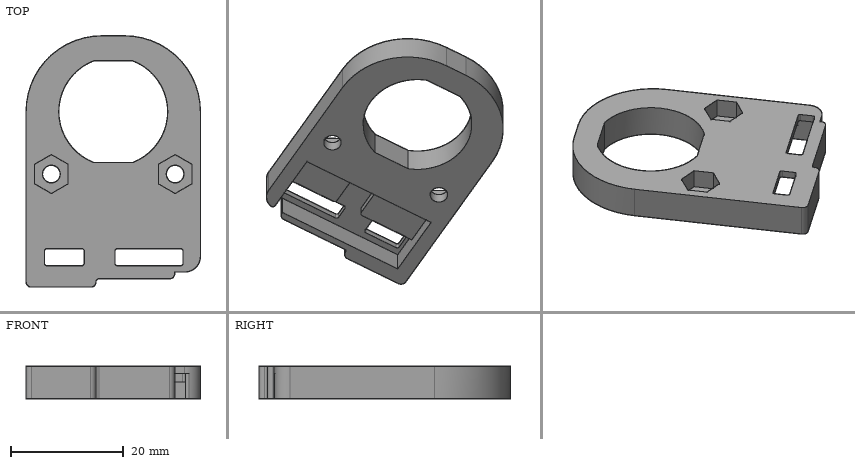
import cadquery as cq
import math

WIDTH = 31.0
LENGTH = 44.65
HEIGHT = 5.8
CENTER_X = WIDTH / 2

HEAD_RADIUS = 13.5
HEAD_Y = LENGTH - HEAD_RADIUS
EDGE_RADIUS = 1.0
STEP_RADIUS = 0.5
STEP_Y = EDGE_RADIUS + STEP_RADIUS
STEP_X = 12.45
TONGUE_X = 26.45
NOTCH_Y = 2.7
RIGHT_CORNER_RADIUS = 2.8

BORE_DIAMETER = 19.3
BORE_FLATS = 18.05

SCREW_SPACING = 21.95
SCREW_Y = 20.1
SCREW_DIAMETER = 3.1
NUT_FLATS = 6.0
NUT_CORNERS = NUT_FLATS / math.cos(math.pi / 6)
NUT_DEPTH = 3.5

SLOT_SPANS = [(3.3, 10.3), (15.8, 27.85)]
SLOT_FRONT = 3.85
SLOT_BACK = 6.85
SLOT_RADIUS = 0.4

ROOF_Z = 4.45
LEDGE_Z = 3.0
CAVITY_LEFT = 2.7
CAVITY_RIGHT = 28.3
LEDGE_BACK = 7.55
CAVITY_BACK = 14.3
GAP_LEFT = 13.4
GAP_RIGHT = 18.4
CAVITY_RADIUS = 0.55
TIP_RADIUS = 0.5


def block(left, right, front, back, bottom, top):
    """Box given by its six limits."""
    size = (right - left, back - front, top - bottom)
    return cq.Workplane("XY").box(*size, centered=False).translate((left, front, bottom))


def arc_mid(center_x, center_y, radius, degrees):
    """Point on a circle at the given angle."""
    angle = math.radians(degrees)
    return (center_x + radius * math.cos(angle), center_y + radius * math.sin(angle))


def make_plate():
    """Solid plate with a rounded head and a stepped foot."""
    r = EDGE_RADIUS
    s = STEP_RADIUS
    c = RIGHT_CORNER_RADIUS
    h = HEAD_RADIUS
    return (
        cq.Workplane("XY")
        .moveTo(r, 0)
        .lineTo(STEP_X - r, 0)
        .threePointArc(arc_mid(STEP_X - r, r, r, -45), (STEP_X, r))
        .threePointArc(arc_mid(STEP_X + s, r, s, 135), (STEP_X + s, STEP_Y))
        .lineTo(TONGUE_X - r, STEP_Y)
        .threePointArc(arc_mid(TONGUE_X - r, STEP_Y + r, r, -45), (TONGUE_X, STEP_Y + r))
        .lineTo(TONGUE_X, NOTCH_Y)
        .lineTo(WIDTH - c, NOTCH_Y)
        .threePointArc(arc_mid(WIDTH - c, NOTCH_Y + c, c, -45), (WIDTH, NOTCH_Y + c))
        .lineTo(WIDTH, HEAD_Y)
        .threePointArc(arc_mid(WIDTH - h, HEAD_Y, h, 45), (WIDTH - h, LENGTH))
        .lineTo(h, LENGTH)
        .threePointArc(arc_mid(h, HEAD_Y, h, 135), (0, HEAD_Y))
        .lineTo(0, r)
        .threePointArc(arc_mid(r, r, r, 225), (r, 0))
        .close()
        .extrude(HEIGHT)
    )


def make_bore():
    """Round bore limited by flats at its front and back."""
    bore = cq.Workplane("XY").center(CENTER_X, HEAD_Y).circle(BORE_DIAMETER / 2).extrude(HEIGHT)
    half = BORE_FLATS / 2
    return bore.intersect(block(0, WIDTH, HEAD_Y - half, HEAD_Y + half, 0, HEIGHT))


def make_screw_hole(x):
    """Through hole with a nut pocket sunk from the top."""
    hole = cq.Workplane("XY").center(x, SCREW_Y).circle(SCREW_DIAMETER / 2).extrude(HEIGHT)
    nut = (
        cq.Workplane("XY")
        .polygon(6, NUT_CORNERS)
        .extrude(NUT_DEPTH)
        .rotate((0, 0, 0), (0, 0, 1), 30)
        .translate((x, SCREW_Y, HEIGHT - NUT_DEPTH))
    )
    return hole.union(nut)


def make_cavity():
    """Stepped cavity whose ledge is split by a gap with rounded corners."""
    lower = block(CAVITY_LEFT, CAVITY_RIGHT, NOTCH_Y, CAVITY_BACK, 0, LEDGE_Z)
    upper = block(CAVITY_LEFT, CAVITY_RIGHT, NOTCH_Y, LEDGE_BACK, LEDGE_Z, ROOF_Z)
    gap = block(GAP_LEFT, GAP_RIGHT, NOTCH_Y, CAVITY_BACK, LEDGE_Z, ROOF_Z)
    upper = upper.union(gap)
    for x, y in [(CAVITY_RIGHT, LEDGE_BACK), (GAP_LEFT, LEDGE_BACK), (GAP_RIGHT, LEDGE_BACK)]:
        corner = cq.selectors.NearestToPointSelector((x, y, (LEDGE_Z + ROOF_Z) / 2))
        upper = upper.edges("|Z").edges(corner).fillet(CAVITY_RADIUS)
    return lower.union(upper)


def round_wall_tip(body):
    """Round the upright wall end where the cavity opens into the notch."""
    tip = cq.selectors.NearestToPointSelector((CAVITY_RIGHT, NOTCH_Y, ROOF_Z / 2))
    return body.edges("|Z").edges(tip).fillet(TIP_RADIUS)


result = make_plate().cut(make_bore())
for side in (-1, 1):
    result = result.cut(make_screw_hole(CENTER_X + side * SCREW_SPACING / 2))

result = round_wall_tip(result.cut(make_cavity()))

for left, right in SLOT_SPANS:
    slot = block(left, right, SLOT_FRONT, SLOT_BACK, ROOF_Z, HEIGHT)
    result = result.cut(slot.edges("|Z").fillet(SLOT_RADIUS))